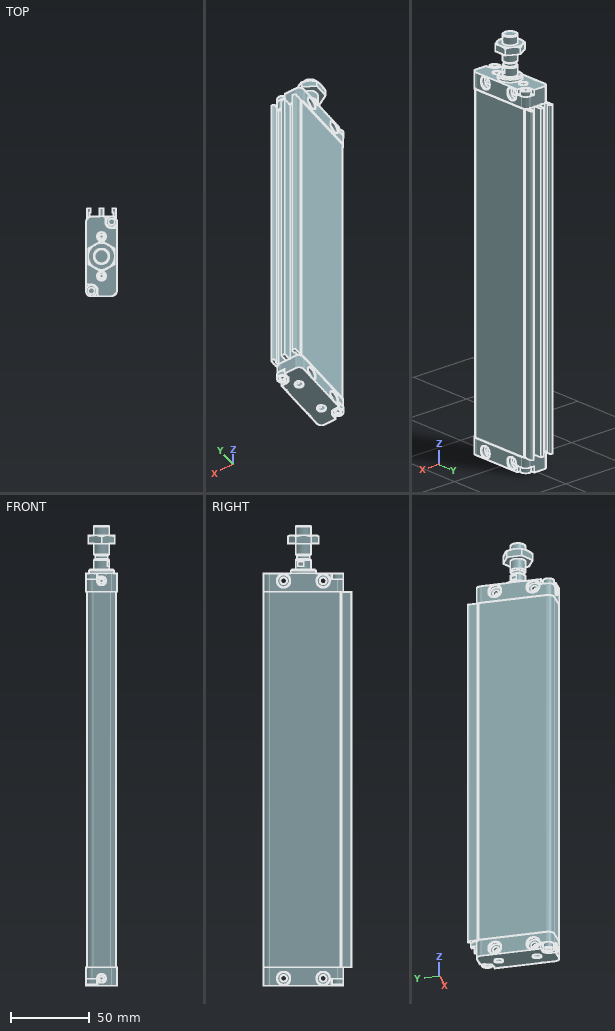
import cadquery as cq
import math

TOTAL_HEIGHT = 292.0
TOTAL_DEPTH = 56.0
CAP_TOP = 261.5
CAP_HEIGHT = 11.7
BARREL_BASE = CAP_HEIGHT
BARREL_TOP = CAP_TOP - CAP_HEIGHT

CAP_WIDTH = 20.0
CAP_DEPTH = 50.8
CORNER_RADIUS = 3.8
BOSS_DIA = 16.0
BOSS_HEIGHT = 2.5
BOSS_CHAMFER = 1.0

CROSS_HOLE_DIA = 4.0
CROSS_BORE_DIA = 8.0
CROSS_MOUTH_DIA = 8.8
CROSS_BORE_DEPTH = 3.2
HOLE_INSET = 4.7
HOLE_SPACING = 25.0

THREAD_MOUTH_DIA = 5.8
THREAD_DIA = 5.0
THREAD_DEPTH = 7.0
CORE_DIA = 2.57
CORE_DEPTH = 1.8

HEAD_DIA = 7.0
HEAD_HEIGHT = 3.5
LOWER_HEAD_RECESS = 1.0
POCKET_DIA = 8.2
SOCKET_DIA = 4.0
SOCKET_DEPTH = 1.8
HEAD_X = (CAP_WIDTH - HEAD_DIA) / 2
HEAD_Y = (CAP_DEPTH - HEAD_DIA) / 2

BARREL_WIDTH = 18.7
BARREL_FRONT = -CAP_DEPTH / 2
BARREL_BACK = 24.2
RAIL_TOP = TOTAL_DEPTH - CAP_DEPTH / 2
LEG_THICKNESS = 1.8
HOOK_WIDTH = 2.5
HOOK_HEIGHT = 3.0
HOOK_RADIUS = 1.0
CENTER_RAIL_WIDTH = 2.5
GROOVE_WIDTH = 1.0
GROOVE_DEPTH = 0.5

ROD_DIA = 10.0
ROD_END_CHAMFER = 0.5
NECK_DIA = 8.2
NECK_TOP = 274.0
NECK_BOTTOM = 270.0
NECK_CHAMFER = (ROD_DIA - NECK_DIA) / 2
FLAT_DISTANCE = 9.0
FLAT_BOTTOM = 266.3
FLAT_TOP = 269.2
FLAT_ANGLE = -20

NUT_FLATS = 17.0
NUT_TOP = 286.0
NUT_HEIGHT = 5.3
NUT_CHAMFER_ANGLE = 30


def box(x_range, y_range, z_range):
    x0, x1 = x_range
    y0, y1 = y_range
    z0, z1 = z_range
    return cq.Workplane().box(x1 - x0, y1 - y0, z1 - z0, centered=False).translate((x0, y0, z0))


def cylinder(dia, base, top, x=0, y=0):
    return cq.Workplane(origin=(x, y, base)).circle(dia / 2).extrude(top - base)


def countersunk_hole(start, direction, mouth_dia, dia, depth):
    """Cutter from a point on a face: a 45-degree mouth, then a straight hole."""
    rise = (mouth_dia - dia) / 2
    mouth = cq.Solid.makeCone(mouth_dia / 2, dia / 2, rise, start, direction)
    return cq.Workplane(mouth.fuse(cq.Solid.makeCylinder(dia / 2, depth, start, direction)))


def threaded_hole(start, direction):
    core = cq.Solid.makeCylinder(CORE_DIA / 2, THREAD_DEPTH + CORE_DEPTH, start, direction)
    return countersunk_hole(start, direction, THREAD_MOUTH_DIA, THREAD_DIA, THREAD_DEPTH).union(core)


def cut_cross_holes(cap, z):
    for y in (-HOLE_SPACING / 2, HOLE_SPACING / 2):
        for side in (-1, 1):
            start = cq.Vector(side * CAP_WIDTH / 2, y, z)
            inward = cq.Vector(-side, 0, 0)
            cap = cap.cut(countersunk_hole(start, inward, CROSS_MOUTH_DIA, CROSS_BORE_DIA, CROSS_BORE_DEPTH))
            cap = cap.cut(cq.Workplane(cq.Solid.makeCylinder(CROSS_HOLE_DIA / 2, CAP_WIDTH, start, inward)))
    return cap


def seat_screw_head(cap, side, face, inward, recess):
    """Open a corner pocket and leave a socket screw head standing in it."""
    x = side * HEAD_X
    y = side * HEAD_Y
    floor = face + inward * (recess + HEAD_HEIGHT)
    z_range = sorted((face, floor))
    reach = side * POCKET_DIA
    half = POCKET_DIA / 2
    toward_x = box(sorted((x, x + reach)), (y - half, y + half), z_range)
    toward_y = box((x - half, x + half), sorted((y, y + reach)), z_range)
    pocket = cylinder(POCKET_DIA, face, floor, x, y).union(toward_x).union(toward_y)

    head_end = face + inward * recess
    head = cylinder(HEAD_DIA, floor, head_end, x, y)
    socket = cylinder(SOCKET_DIA, head_end, head_end + inward * SOCKET_DEPTH, x, y)
    return cap.cut(pocket).union(head.cut(socket))


def make_cap(base, face, inward, head_recess):
    """Cap whose outer end is at Z = face; inward is +1 or -1 along Z, toward the barrel."""
    cap = cq.Workplane(origin=(0, 0, base)).rect(CAP_WIDTH, CAP_DEPTH).extrude(CAP_HEIGHT)
    cap = cap.edges("|Z").fillet(CORNER_RADIUS)
    hole_z = face + inward * HOLE_INSET
    cap = cut_cross_holes(cap, hole_z)
    for y in (-HOLE_SPACING / 2, HOLE_SPACING / 2):
        cap = cap.cut(threaded_hole(cq.Vector(0, y, face), cq.Vector(0, 0, inward)))
    cap = cap.cut(threaded_hole(cq.Vector(0, -CAP_DEPTH / 2, hole_z), cq.Vector(0, 1, 0)))
    for side in (-1, 1):
        cap = seat_screw_head(cap, side, face, inward, head_recess)
    return cap


def make_lower_cap():
    return make_cap(0, 0, 1, LOWER_HEAD_RECESS)


def make_upper_cap():
    cap = make_cap(BARREL_TOP, CAP_TOP, -1, 0)
    boss = cylinder(BOSS_DIA, CAP_TOP, CAP_TOP + BOSS_HEIGHT).faces(">Z").chamfer(BOSS_CHAMFER)
    return cap.union(boss).cut(cylinder(ROD_DIA, BARREL_TOP, TOTAL_HEIGHT))


def make_hooked_rail(side, z_range):
    outer = side * BARREL_WIDTH / 2
    leg = box(sorted((outer, outer - side * LEG_THICKNESS)), (BARREL_BACK, RAIL_TOP - HOOK_RADIUS), z_range)
    hook = box(sorted((outer, outer - side * HOOK_WIDTH)), (RAIL_TOP - HOOK_HEIGHT, RAIL_TOP), z_range)
    return leg.union(hook.edges("|Z and >Y").fillet(HOOK_RADIUS))


def make_barrel():
    z_range = (BARREL_BASE, BARREL_TOP)
    half_width = BARREL_WIDTH / 2
    barrel = box((-half_width, half_width), (BARREL_FRONT, BARREL_BACK), z_range)
    barrel = barrel.edges("|Z and <Y").fillet(CORNER_RADIUS)
    half_rail = CENTER_RAIL_WIDTH / 2
    barrel = barrel.union(box((-half_rail, half_rail), (BARREL_BACK, RAIL_TOP), z_range))
    for side in (-1, 1):
        barrel = barrel.union(make_hooked_rail(side, z_range))
        groove_x = sorted((side * half_width, side * (half_width - GROOVE_DEPTH)))
        barrel = barrel.cut(box(groove_x, (BARREL_BACK - GROOVE_WIDTH, BARREL_BACK), z_range))
    return barrel


def make_rod():
    """Turned rod with a necked thread run-out and two wrench flats below it."""
    radius = ROD_DIA / 2
    neck = NECK_DIA / 2
    profile = [
        (0, BARREL_TOP),
        (radius, BARREL_TOP),
        (radius, NECK_BOTTOM),
        (neck, NECK_BOTTOM + NECK_CHAMFER),
        (neck, NECK_TOP - NECK_CHAMFER),
        (radius, NECK_TOP),
        (radius, TOTAL_HEIGHT - ROD_END_CHAMFER),
        (radius - ROD_END_CHAMFER, TOTAL_HEIGHT),
        (0, TOTAL_HEIGHT),
    ]
    rod = cq.Workplane("XZ").polyline(profile).close().revolve(360, (0, 0, 0), (0, 1, 0))
    for side in (-1, 1):
        flat_x = sorted((side * FLAT_DISTANCE / 2, side * ROD_DIA))
        cutter = box(flat_x, (-ROD_DIA, ROD_DIA), (FLAT_BOTTOM, FLAT_TOP))
        rod = rod.cut(cutter.rotate((0, 0, 0), (0, 0, 1), FLAT_ANGLE))
    return rod


def make_nut():
    """Hexagon nut with flats facing +X and -X and its upper corners turned off."""
    base = NUT_TOP - NUT_HEIGHT
    nut = cq.Workplane(origin=(0, 0, base)).polygon(6, NUT_FLATS, circumscribed=True).extrude(NUT_HEIGHT)
    top_radius = NUT_FLATS / 2
    base_radius = top_radius + NUT_HEIGHT / math.tan(math.radians(NUT_CHAMFER_ANGLE))
    turned = cq.Solid.makeCone(base_radius, top_radius, NUT_HEIGHT, cq.Vector(0, 0, base))
    return nut.intersect(cq.Workplane(turned)).cut(cylinder(ROD_DIA, base, NUT_TOP))


upper_cap = make_upper_cap()
lower_cap = make_lower_cap()
barrel = make_barrel()
rod = make_rod()
nut = make_nut()

result = cq.Compound.makeCompound([upper_cap.val(), lower_cap.val(), barrel.val(), rod.val(), nut.val()])